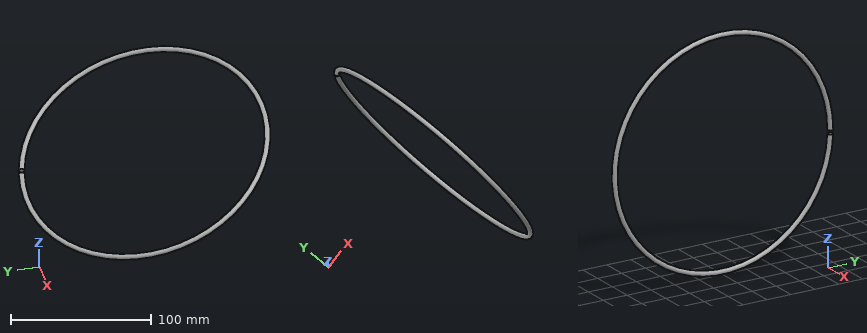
import cadquery as cq
import math

outer_diameter = 184.7
wire_diameter = 4.5
gap_width = 3.0

wire_radius = wire_diameter / 2
center_radius = outer_diameter / 2 - wire_radius
gap_angle = math.degrees(gap_width / center_radius)

result = (
    cq.Workplane("XY")
    .center(0, center_radius)
    .circle(wire_radius)
    .revolve(360 - gap_angle, (0, -center_radius, 0), (1, -center_radius, 0))
)